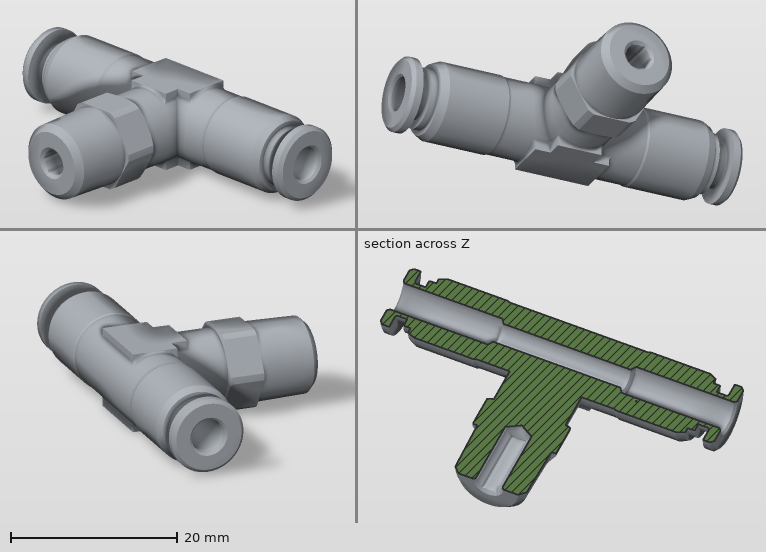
import cadquery as cq
import math


run_length = 44.2
overall_width = 26.4
half_run = run_length / 2
body_radius = 9.6 / 2
cap_radius = 9.85 / 2
cap_inner_end = 9.4
cap_step_length = 0.25
cap_outer_end = 18.35
cap_taper_length = 1.0
cap_taper_depth = 0.5
ring_radius = 7.55 / 2
ring_end = 19.25
neck_radius = 5.45 / 2
neck_fillet = 0.25
collar_radius = 9.33 / 2
collar_thickness = 1.35
collar_chamfer = 0.45

passage_radius = 1.45
socket_radius = 2.1
socket_mouth_radius = 2.45
socket_depth = 13.25
socket_cone_angle = 59.0

branch_neck_radius = 4.77
hex_start = 9.4
hex_end = 13.9
hex_across_flats = 10.0
hex_corner_radius = 5.52
hex_chamfer_length = 0.2
hex_chamfer_depth = 0.45
thread_end = overall_width - cap_radius
thread_base_radius = 9.85 / 2
thread_tip_radius = 9.5 / 2
thread_chamfer = 0.8

key_across_flats = 3.0
key_bore_radius = 1.6
key_mouth_radius = 2.0
key_depth = 8.85
drill_tip_angle = 59.0

pad_top = hex_across_flats / 2
pad_half_width = 4.9
pad_back = 2.9
pad_shoulder = -2.85
pad_stem_half_width = 2.9
pad_front = -4.9
pad_base_fillet = 0.35


def revolve_on_x(points):
    """Solid of revolution about X from (x, radius) points."""
    return cq.Workplane("XY").polyline(points).close().revolve(360, (0, 0, 0), (1, 0, 0))


def revolve_on_branch(points):
    """Solid of revolution about Y from (radius, distance along -Y) points."""
    profile = [(radius, -distance) for radius, distance in points]
    return cq.Workplane("XY").polyline(profile).close().revolve(360, (0, 0, 0), (0, 1, 0))


def hex_prism(across_flats, start, end):
    """Hexagon along the branch with flats facing +Z and -Z."""
    corner_diameter = across_flats / math.cos(math.pi / 6)
    plane = cq.Workplane("XZ", origin=(0, -start, 0))
    return plane.polygon(6, corner_diameter).extrude(end - start)


def run_half():
    """The +X half of the run, from the crossing to the collar face."""
    collar_back = half_run - collar_thickness
    profile = (
        cq.Workplane("XY")
        .moveTo(0, 0)
        .lineTo(0, body_radius)
        .lineTo(cap_inner_end - cap_step_length, body_radius)
        .lineTo(cap_inner_end, cap_radius)
        .lineTo(cap_outer_end - cap_taper_length, cap_radius)
        .lineTo(cap_outer_end, cap_radius - cap_taper_depth)
        .lineTo(cap_outer_end, ring_radius)
        .lineTo(ring_end, ring_radius)
        .lineTo(ring_end, neck_radius)
        .lineTo(collar_back - neck_fillet, neck_radius)
        .radiusArc((collar_back, neck_radius + neck_fillet), -neck_fillet)
        .lineTo(collar_back, collar_radius)
        .lineTo(half_run - collar_chamfer, collar_radius)
        .lineTo(half_run, collar_radius - collar_chamfer)
        .lineTo(half_run, 0)
        .close()
    )
    return profile.revolve(360, (0, 0, 0), (1, 0, 0))


def run_bore_half():
    """The +X half of the through bore with its tube socket."""
    socket_floor = half_run - socket_depth
    cone_length = (socket_radius - passage_radius) / math.tan(math.radians(socket_cone_angle))
    mouth_chamfer = socket_mouth_radius - socket_radius
    return revolve_on_x([
        (0, 0),
        (0, passage_radius),
        (socket_floor - cone_length, passage_radius),
        (socket_floor, socket_radius),
        (half_run - mouth_chamfer, socket_radius),
        (half_run, socket_mouth_radius),
        (half_run, 0),
    ])


def branch():
    """Neck and thread blank with the hexagon between them."""
    shaft = revolve_on_branch([
        (0, 0),
        (branch_neck_radius, 0),
        (branch_neck_radius, hex_start),
        (thread_base_radius, hex_end),
        (thread_tip_radius, thread_end - thread_chamfer),
        (thread_tip_radius - thread_chamfer, thread_end),
        (0, thread_end),
    ])
    corner_trim = revolve_on_branch([
        (0, hex_start),
        (hex_corner_radius - hex_chamfer_depth, hex_start),
        (hex_corner_radius, hex_start + hex_chamfer_length),
        (hex_corner_radius, hex_end),
        (0, hex_end),
    ])
    return shaft.union(hex_prism(hex_across_flats, hex_start, hex_end).intersect(corner_trim))


def key_socket():
    """Blind hexagon socket broached into a drilled bore, with a countersunk mouth."""
    floor = thread_end - key_depth
    tip_length = key_bore_radius / math.tan(math.radians(drill_tip_angle))
    bore = revolve_on_branch([
        (0, floor - tip_length),
        (key_bore_radius, floor),
        (key_bore_radius, thread_end),
        (0, thread_end),
    ])
    mouth = revolve_on_branch([
        (0, thread_end - key_mouth_radius),
        (key_mouth_radius, thread_end),
        (0, thread_end),
    ])
    return bore.union(hex_prism(key_across_flats, floor, thread_end)).union(mouth)


def label_pad():
    """T-shaped block standing on the crossing, from the run's axis plane up to the pad face."""
    outline = [
        (-pad_half_width, pad_back),
        (pad_half_width, pad_back),
        (pad_half_width, pad_shoulder),
        (pad_stem_half_width, pad_shoulder),
        (pad_stem_half_width, pad_front),
        (-pad_stem_half_width, pad_front),
        (-pad_stem_half_width, pad_shoulder),
        (-pad_half_width, pad_shoulder),
    ]
    return cq.Workplane("XY").polyline(outline).close().extrude(pad_top)


def add_pads(body):
    """Body with a pad above and below, each filleted where it meets the body."""
    pad = label_pad()
    padded = body.union(pad).union(pad.mirror("XY"))
    foot_low = body_radius / 2
    foot_high = (body_radius + pad_top) / 2
    for low, high in ((foot_low, foot_high), (-foot_high, -foot_low)):
        foot = cq.selectors.BoxSelector(
            (-pad_half_width - pad_base_fillet, pad_front - pad_base_fillet, low),
            (pad_half_width + pad_base_fillet, pad_back + pad_base_fillet, high),
            boundingbox=True,
        )
        padded = padded.edges(foot).fillet(pad_base_fillet)
    return padded


right_half = run_half()
bore_half = run_bore_half()

result = add_pads(right_half.union(right_half.mirror("YZ")).union(branch()))
result = result.cut(bore_half).cut(bore_half.mirror("YZ")).cut(key_socket())